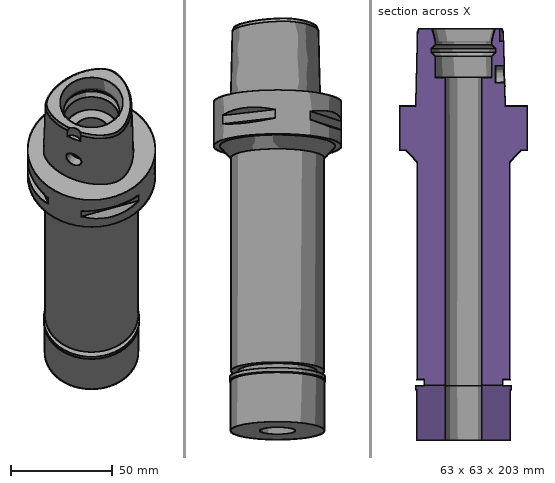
import cadquery as cq
import math


taper_height = 38.0
base_mean_radius = 22.2
taper_slope = 1 / 40
lobe_offset = 1.5
rim_chamfer_height = 1.7
rim_chamfer_width = 0.7

flange_radius = 31.5
flange_height = 22.0
cone_top_radius = 28.5
cone_height = 5.9
shank_radius = 23.0
shank_bottom = -135.0
neck_radius = 19.4

nut_top = -138.0
nut_bottom = -165.0
nut_radius = 23.2
collar_height = 2.3
collar_chamfer = 0.4
collar_radius = nut_radius + collar_chamfer

bore_radius = 8.8
mouth_radius = 15.5
recess_radius = 13.8
mouth_depth = 6.4
recess_depth = 24.0
undercut_radius = 15.7
undercut_top_depth = 7.9
undercut_bottom_depth = 13.6

groove_count = 4
groove_first_angle = 45.0
groove_depth_below_face = 11.9
groove_flat_distance = 27.7
groove_floor_width = 4.2
groove_mouth_width = 7.7

slot_radius = 4.8
slot_axis_y = -22.7
slot_depth = 6.2
cross_hole_radius = 4.1
cross_hole_height = 15.6
cross_hole_floor_y = -15.8


def polygon_wire(mean_radius, height):
    """Three-lobed curve of constant width with one lobe pointing to +Y."""

    def point(t):
        radial = mean_radius + lobe_offset * math.cos(3 * t)
        tangential = -3 * lobe_offset * math.sin(3 * t)
        along = radial * math.cos(t) - tangential * math.sin(t)
        across = radial * math.sin(t) + tangential * math.cos(t)
        return cq.Vector(-across, along, height)

    sample_count = 36
    points = [point(2 * math.pi * i / sample_count) for i in range(sample_count)]
    return cq.Wire.assembleEdges([cq.Edge.makeSpline(points, periodic=True)])


def make_taper():
    shoulder_height = taper_height - rim_chamfer_height
    shoulder_radius = base_mean_radius - taper_slope * shoulder_height
    base = polygon_wire(base_mean_radius, 0)
    shoulder = polygon_wire(shoulder_radius, shoulder_height)
    rim = polygon_wire(shoulder_radius - rim_chamfer_width, taper_height)
    flank = cq.Solid.makeLoft([base, shoulder], True)
    chamfer = cq.Solid.makeLoft([shoulder, rim], True)
    return cq.Workplane(flank).union(cq.Workplane(chamfer))


def revolve_profile(points):
    """Revolve a closed outline of (radius, height) points about the Z axis."""
    return cq.Workplane("XZ").polyline(points).close().revolve(360, (0, 0), (0, 1))


def make_round_body():
    cone_bottom = -flange_height - cone_height
    return revolve_profile([
        (0, 0),
        (flange_radius, 0),
        (flange_radius, -flange_height),
        (cone_top_radius, -flange_height),
        (shank_radius, cone_bottom),
        (shank_radius, shank_bottom),
        (neck_radius, shank_bottom),
        (neck_radius, nut_top),
        (0, nut_top),
    ])


def make_bore():
    """Tapered mouth, undercut with 45-degree flanks, recess and through hole."""
    flank_height = undercut_radius - recess_radius
    undercut_top = taper_height - undercut_top_depth
    undercut_bottom = taper_height - undercut_bottom_depth
    recess_floor = taper_height - recess_depth
    return revolve_profile([
        (0, taper_height),
        (mouth_radius, taper_height),
        (recess_radius, taper_height - mouth_depth),
        (recess_radius, undercut_top),
        (undercut_radius, undercut_top - flank_height),
        (undercut_radius, undercut_bottom + flank_height),
        (recess_radius, undercut_bottom),
        (recess_radius, recess_floor),
        (bore_radius, recess_floor),
        (bore_radius, nut_top),
        (0, nut_top),
    ])


def make_groove(angle):
    """Straight groove with sloped walls, square to the radius at the given angle."""
    half_floor = groove_floor_width / 2
    wall_run = (groove_mouth_width - groove_floor_width) / 2
    outline = [
        (groove_flat_distance, -half_floor),
        (flange_radius, -half_floor - wall_run),
        (flange_radius, half_floor + wall_run),
        (groove_flat_distance, half_floor),
    ]
    groove = cq.Workplane("XZ").polyline(outline).close().extrude(flange_radius, both=True)
    return groove.translate((0, 0, -groove_depth_below_face)).rotate((0, 0, 0), (0, 0, 1), angle)


def make_key_slot():
    slot = cq.Workplane("XY").center(0, slot_axis_y).circle(slot_radius).extrude(slot_depth)
    return slot.translate((0, 0, taper_height - slot_depth))


def make_cross_hole():
    hole = cq.Workplane("XZ", origin=(0, cross_hole_floor_y, cross_hole_height))
    return hole.circle(cross_hole_radius).extrude(flange_radius + cross_hole_floor_y)


def make_holder():
    holder = make_round_body().union(make_taper())
    holder = holder.cut(make_bore()).cut(make_key_slot()).cut(make_cross_hole())
    for i in range(groove_count):
        holder = holder.cut(make_groove(groove_first_angle + i * 360 / groove_count))
    return holder


def make_nut():
    collar_bottom = nut_top - collar_height
    return revolve_profile([
        (bore_radius, nut_top),
        (collar_radius, nut_top),
        (collar_radius, collar_bottom + collar_chamfer),
        (nut_radius, collar_bottom),
        (nut_radius, nut_bottom),
        (bore_radius, nut_bottom),
    ])


holder = make_holder()
nut = make_nut()
result = cq.Compound.makeCompound([holder.val(), nut.val()])